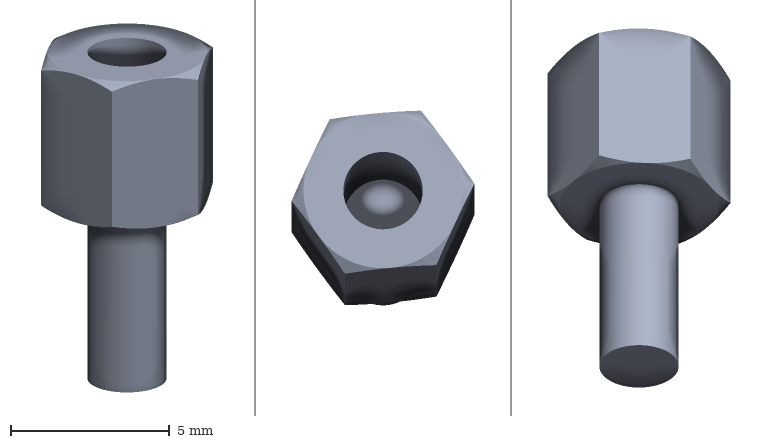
import cadquery as cq
import math

total_length = 11.0
across_flats = 5.0
hex_height = 5.0
hex_sides = 6
bore_diameter = 2.5
stud_engagement = 1.0
chamfer_angle = 30.0

across_corners = across_flats / math.cos(math.pi / hex_sides)
stud_exposed_length = total_length - hex_height
flat_radius = across_flats / 2
corner_radius = across_corners / 2
chamfer_slope = math.tan(math.radians(chamfer_angle))


def make_corner_envelope():
    """Turned profile whose conical ends chamfer the hexagon corners."""
    outer_radius = 1.1 * corner_radius
    cone_height = (outer_radius - flat_radius) * chamfer_slope
    return (
        cq.Workplane("XZ")
        .moveTo(0, 0)
        .lineTo(flat_radius, 0)
        .lineTo(outer_radius, cone_height)
        .lineTo(outer_radius, hex_height - cone_height)
        .lineTo(flat_radius, hex_height)
        .lineTo(0, hex_height)
        .close()
        .revolve(360, (0, 0, 0), (0, 1, 0))
    )


def make_hex_spacer():
    """Hexagonal sleeve with corners along Y, chamfered ends and a through bore."""
    hexagon = (
        cq.Workplane("XY")
        .polygon(hex_sides, across_corners)
        .extrude(hex_height)
        .rotate((0, 0, 0), (0, 0, 1), 90)
    )
    bore = cq.Workplane("XY").circle(bore_diameter / 2).extrude(hex_height)
    return hexagon.intersect(make_corner_envelope()).cut(bore)


def make_stud():
    """Plain stud that fills the lower end of the bore and projects below the spacer."""
    return (
        cq.Workplane("XY")
        .workplane(offset=-stud_exposed_length)
        .circle(bore_diameter / 2)
        .extrude(stud_exposed_length + stud_engagement)
    )


hex_spacer = make_hex_spacer()
stud = make_stud()

result = cq.Compound.makeCompound([hex_spacer.solids().val(), stud.val()])